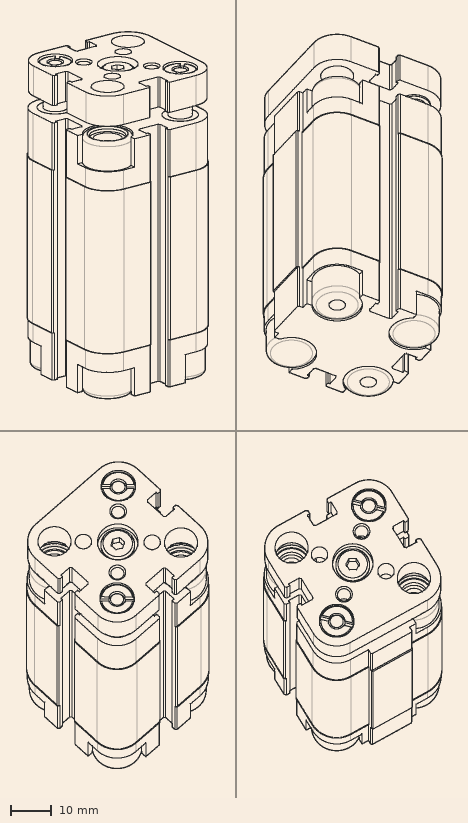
import cadquery as cq
import math

total_height = 80.5
housing_height = 68.0
cap_height = 12.5
plate_thickness = 8.0
cap_bottom = housing_height - cap_height
barrel_length = cap_bottom - cap_height
plate_bottom = total_height - plate_thickness

barrel_half = 36.0 / 2
cap_half = 35.6 / 2
plate_half = 35.3 / 2
corner_offset = 11.0
pin_corners = [(-corner_offset, -corner_offset), (corner_offset, corner_offset)]
screw_corners = [(-corner_offset, corner_offset), (corner_offset, -corner_offset)]

rail_half = 5.9
rail_chamfer = 0.3
rail_height = 1.5
cap_rail_height = 1.4

slot_lip_half = 2.65
front_slot_half = 3.4
side_slot_half = 3.2
slot_lip_inner = 16.4
slot_floor = 13.05
slot_chamfer = 0.4

boss_dia = 12.5
boss_fillet = 1.05
notch_start = 7.7
notch_height = 7.5

through_dia = 4.0
through_cone_dia = 5.6
counterbore_dia = 7.2
counterbore_depth = 3.2
head_seat_dia = 9.0
head_seat_depth = 1.2
head_seat_mouth_dia = 10.0

rod_dia = 10.0
rod_flats = 9.0
rod_flat_start = 0.25
pin_dia = 6.0
collar_dia = 8.1
collar_height = 0.5
guide_ring_dia = 9.0
guide_ring_height = 0.05

screw_recess_depth = 2.1
screw_height = 1.2
screw_dia = 8.4
screw_chamfer = 0.6
screw_hex_flats = 3.0
screw_hex_depth = 2.4

nut_recess_dia = 8.5
nut_recess_depth = 1.2
nut_dia = 8.4
nut_height = 0.8
nut_chamfer = 0.3
nut_slot_width = 1.1
nut_slot_depth = 1.3
stud_dia = 4.1
stud_tip_dia = 3.2
stud_tip_depth = 0.25

corner_hole_dia = 8.1
small_hole_offset = 12.0 / 2
plain_hole_dia = 4.0
thread_hole_dia = 3.2
thread_hole_mouth_dia = 4.1

outside_margin = 0.8


def cylinder(x, y, z, dia, height):
    return cq.Workplane("XY", origin=(x, y, z)).circle(dia / 2).extrude(height)


def cone(x, y, z, bottom_dia, top_dia, height):
    return cq.Workplane(cq.Solid.makeCone(bottom_dia / 2, top_dia / 2, height, cq.Vector(x, y, z)))


def mouth_cone(x, y, top_z, hole_dia, mouth_dia):
    """45 degree countersink that widens a hole to its mouth diameter at top_z."""
    depth = (mouth_dia - hole_dia) / 2
    return cone(x, y, top_z - depth, hole_dia, mouth_dia, depth)


def mirrored_in_x(right_side):
    """Closes an outline by adding the mirror image of its right side."""
    return right_side + [(-x, y) for x, y in reversed(right_side)]


def rounded_block(half, z, height):
    """Square prism whose corner arcs are centred on the corner offset."""
    block = cq.Workplane("XY", origin=(0, 0, z)).rect(2 * half, 2 * half).extrude(height)
    return block.edges("|Z").fillet(half - corner_offset)


def slot_cutter(half, inner_half):
    """Undercut slot in the -Y face of a section with the given half width."""
    mouth_half = slot_lip_half + slot_chamfer
    right_side = [
        (mouth_half, -half - outside_margin),
        (mouth_half, -half),
        (slot_lip_half, -half + slot_chamfer),
        (slot_lip_half, -slot_lip_inner),
        (inner_half, -slot_lip_inner),
        (inner_half, -slot_floor - slot_chamfer),
        (inner_half - slot_chamfer, -slot_floor),
    ]
    return cq.Workplane("XY").polyline(mirrored_in_x(right_side)).close().extrude(total_height)


def cut_slots(section, half):
    """Slots in the -Y, -X and +X faces."""
    section = section.cut(slot_cutter(half, front_slot_half))
    for angle in (-90, 90):
        side_slot = slot_cutter(half, side_slot_half).rotate((0, 0, 0), (0, 0, 1), angle)
        section = section.cut(side_slot)
    return section


def rail(half, height, z, length):
    """Rail on the +Y face, rooted inside the section and chamfered along its top."""
    top = half + height
    right_side = [
        (rail_half, half - outside_margin),
        (rail_half, top - rail_chamfer),
        (rail_half - rail_chamfer, top),
    ]
    return cq.Workplane("XY", origin=(0, 0, z)).polyline(mirrored_in_x(right_side)).close().extrude(length)


def housing_section(half, height_of_rail, z, length):
    block = rounded_block(half, z, length).union(rail(half, height_of_rail, z, length))
    return cut_slots(block, half)


def corner_notch(x, y, z, rounded_end):
    """Material removed around one round corner boss; the notch is open towards the corner."""
    size = barrel_half + outside_margin - notch_start
    middle = notch_start + size / 2
    corner = cq.Workplane("XY", origin=(math.copysign(middle, x), math.copysign(middle, y), z))
    boss = cylinder(x, y, z, boss_dia, notch_height)
    notch = corner.rect(size, size).extrude(notch_height).union(boss)
    return notch.cut(boss.faces(rounded_end).edges().fillet(boss_fillet))


def screw_hole(x, y):
    """Through hole with a cone, a counterbore and a head seat at the top."""
    cone_top = housing_height - counterbore_depth
    hole = cylinder(x, y, 0, through_dia, housing_height)
    hole = hole.union(mouth_cone(x, y, cone_top, through_dia, through_cone_dia))
    hole = hole.union(cylinder(x, y, cone_top, counterbore_dia, counterbore_depth))
    hole = hole.union(cylinder(x, y, housing_height - head_seat_depth, head_seat_dia, head_seat_depth))
    return hole.union(mouth_cone(x, y, housing_height, head_seat_dia, head_seat_mouth_dia))


def make_housing():
    housing = housing_section(barrel_half, rail_height, cap_height, barrel_length)
    for z in (0, cap_bottom):
        housing = housing.union(housing_section(cap_half, cap_rail_height, z, cap_height))

    for x, y in pin_corners + screw_corners:
        housing = housing.cut(corner_notch(x, y, 0, "<Z"))
    for x, y in screw_corners:
        housing = housing.cut(corner_notch(x, y, housing_height - notch_height, ">Z"))
        housing = housing.cut(screw_hole(x, y))

    for x, y in pin_corners:
        housing = housing.union(cylinder(x, y, housing_height, guide_ring_dia, guide_ring_height))
        housing = housing.cut(cylinder(x, y, cap_bottom, pin_dia, cap_height + guide_ring_height))
    return housing.cut(cylinder(0, 0, cap_bottom, rod_dia, cap_height))


def make_plate():
    plate = cut_slots(rounded_block(plate_half, plate_bottom, plate_thickness), plate_half)
    offset_ratio = small_hole_offset / corner_offset
    for x, y in screw_corners:
        plate = plate.cut(cylinder(x, y, plate_bottom, corner_hole_dia, plate_thickness))
        small_x, small_y = x * offset_ratio, y * offset_ratio
        plate = plate.cut(cylinder(small_x, small_y, plate_bottom, plain_hole_dia, plate_thickness))
    for x, y in pin_corners:
        small_x, small_y = x * offset_ratio, y * offset_ratio
        plate = plate.cut(cylinder(small_x, small_y, plate_bottom, thread_hole_dia, plate_thickness))
        plate = plate.cut(mouth_cone(small_x, small_y, total_height, thread_hole_dia, thread_hole_mouth_dia))
    return plate


def make_rod():
    """Round rod with flats facing -Y and +Y between the housing and the plate."""
    rod = cylinder(0, 0, cap_bottom, rod_dia, plate_bottom - cap_bottom)
    flat_bottom = housing_height + rod_flat_start
    outside = 2 * rod_dia
    flats = cq.Workplane("XY", origin=(0, 0, flat_bottom)).rect(outside, outside).rect(outside, rod_flats)
    return rod.cut(flats.extrude(plate_bottom - flat_bottom))


def add_rod_screw(plate):
    """Hexagon socket screw head in a round recess."""
    recess_floor = total_height - screw_recess_depth
    head = cylinder(0, 0, recess_floor, screw_dia, screw_height).faces(">Z").edges().chamfer(screw_chamfer)
    across_corners = screw_hex_flats / math.cos(math.radians(30))
    socket = cq.Workplane("XY", origin=(0, 0, recess_floor + screw_height))
    socket = socket.polygon(6, across_corners).extrude(-screw_hex_depth)
    socket = socket.rotate((0, 0, 0), (0, 0, 1), 30)
    plate = plate.cut(cylinder(0, 0, recess_floor, rod_dia, screw_recess_depth))
    return plate.union(head).cut(socket)


def add_slotted_nut(plate, x, y):
    """Sunk nut with a diagonal screwdriver slot around the tapered end of a pin."""
    recess_floor = total_height - nut_recess_depth
    nut_top = recess_floor + nut_height
    slot_bottom = nut_top - nut_slot_depth
    nut = cylinder(x, y, recess_floor, nut_dia, nut_height).faces(">Z").edges().chamfer(nut_chamfer)
    slot = cq.Workplane("XY").rect(nut_dia, nut_slot_width).extrude(nut_slot_depth)
    slot = slot.rotate((0, 0, 0), (0, 0, 1), -45).translate((x, y, slot_bottom))
    plate = plate.cut(cylinder(x, y, recess_floor, nut_recess_dia, nut_recess_depth)).union(nut)
    plate = plate.cut(slot).cut(cylinder(x, y, slot_bottom, stud_dia, nut_slot_depth))
    return plate.union(cone(x, y, slot_bottom, stud_dia, stud_tip_dia, nut_slot_depth - stud_tip_depth))


def guide_pin(x, y):
    """Pin with a collar under the plate."""
    pin = cylinder(x, y, cap_bottom, pin_dia, plate_bottom - cap_bottom)
    return pin.union(cylinder(x, y, plate_bottom - collar_height, collar_dia, collar_height))


def make_yoke():
    yoke = add_rod_screw(make_plate()).union(make_rod())
    for x, y in pin_corners:
        yoke = add_slotted_nut(yoke, x, y).union(guide_pin(x, y))
    return yoke


housing = make_housing()
yoke = make_yoke()

result = cq.Compound.makeCompound([housing.solids().val(), yoke.solids().val()])